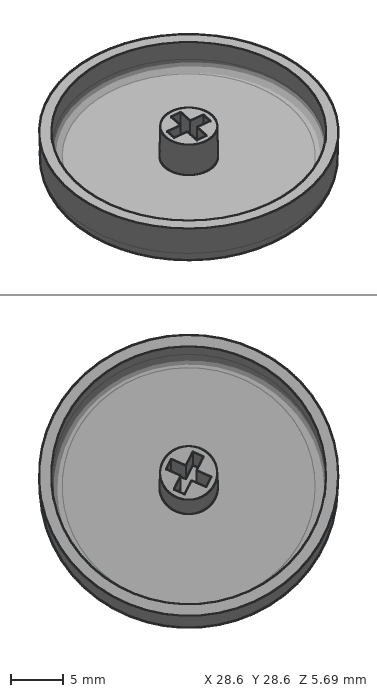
import cadquery as cq
import math

rim_diameter = 28.61
total_height = 5.69
stem_rise = 0.65
rim_height = total_height - stem_rise

draft_angle = 1.0
draft = math.tan(math.radians(draft_angle))
rim_width = 1.18
floor_height = 1.93
outer_round = 1.95
bottom_flat_diameter = 25.53
inner_round = 1.0

stem_top_diameter = 5.46
stem_base_diameter = 5.62
cross_length = 4.24
cross_width = 1.14
socket_depth = total_height - floor_height


def drafted_disc(top_radius, bottom_z, top_z):
    """Solid of revolution about Z that narrows downward by the wall draft."""
    bottom_radius = top_radius - (top_z - bottom_z) * draft
    profile = (
        cq.Workplane("XZ")
        .moveTo(0, bottom_z)
        .lineTo(bottom_radius, bottom_z)
        .lineTo(top_radius, top_z)
        .lineTo(0, top_z)
        .close()
    )
    return profile.revolve(360, (0, 0, 0), (0, 1, 0))


def bottom_trim():
    """Depth the flat removes from the rounded edge to reach its diameter."""
    wall_foot_radius = rim_diameter / 2 - rim_height * draft
    half_corner = math.radians(90 + draft_angle) / 2
    round_centre_radius = wall_foot_radius - outer_round / math.tan(half_corner)
    reach = bottom_flat_diameter / 2 - round_centre_radius
    return outer_round - math.sqrt(outer_round**2 - reach**2)


def make_dish():
    """Shallow round cup with a rounded bottom edge and a rounded floor corner."""
    outer_radius = rim_diameter / 2
    blank = drafted_disc(outer_radius, -bottom_trim(), rim_height)
    blank = blank.faces("<Z").edges().fillet(outer_round)
    below_bottom = cq.Workplane("XY").circle(rim_diameter).extrude(-outer_round)
    body = blank.cut(below_bottom)
    cavity = drafted_disc(outer_radius - rim_width, floor_height, rim_height)
    cavity = cavity.faces("<Z").edges().fillet(inner_round)
    return body.cut(cavity)


def make_stem():
    """Central post, slightly wider at its base, standing on the floor."""
    return (
        cq.Workplane("XY", origin=(0, 0, floor_height))
        .circle(stem_base_diameter / 2)
        .workplane(offset=total_height - floor_height)
        .circle(stem_top_diameter / 2)
        .loft()
    )


def make_socket():
    """Cross-shaped blind socket sunk from the stem top down to floor level."""
    top = cq.Workplane("XY", origin=(0, 0, total_height))
    bar_x = top.rect(cross_length, cross_width).extrude(-socket_depth)
    bar_y = top.rect(cross_width, cross_length).extrude(-socket_depth)
    return bar_x.union(bar_y)


result = make_dish().union(make_stem()).cut(make_socket())